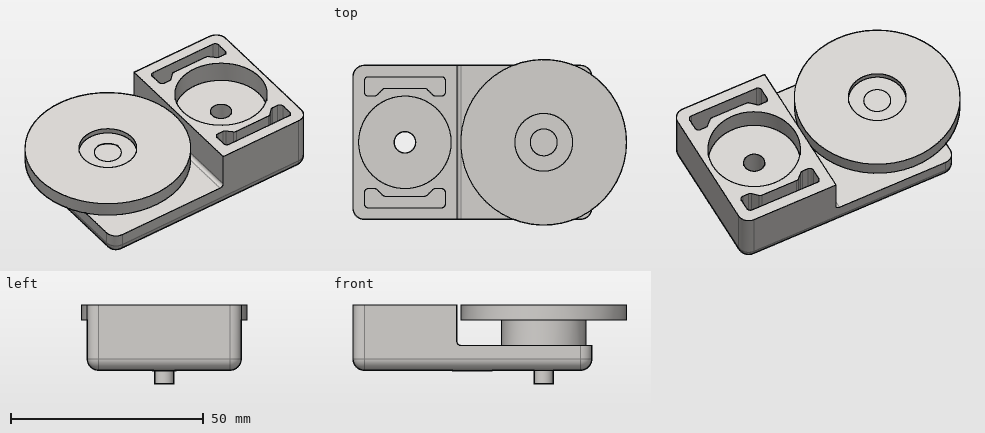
import cadquery as cq

housing_length = 62.0
housing_width = 40.0
housing_height = 17.0
block_length = 27.0
base_thickness = 6.5
corner_radius = 3.0
step_radius = 1.0

recess_diameter = 24.0
recess_depth = 6.0
block_hole_diameter = 5.5

pocket_margin = 3.0
pocket_length = block_length - 2 * pocket_margin
pocket_web_width = 3.0
pocket_leg_width = 5.0
pocket_leg_length = 3.0
pocket_corner_radius = 1.0
pocket_depth = 10.0

pad_length = 10.2
pad_width = 6.0
pad_height = 0.2

disc_x = 49.5
disc_diameter = 43.0
disc_thickness = 4.0
disc_recess_diameter = 15.0
disc_recess_depth = 1.5
disc_hole_top_diameter = 7.0
disc_hole_bottom_diameter = disc_hole_top_diameter + 2 * (disc_thickness - disc_recess_depth)

hub_diameter = 22.0
pin_diameter = 5.0
pin_projection = 3.5

block_center_x = block_length / 2
disc_bottom_z = housing_height - disc_thickness


def cylinder(diameter, x, bottom_z, top_z):
    """Upright cylinder on the housing's centre line."""
    return (
        cq.Workplane("XY", origin=(x, 0, bottom_z))
        .circle(diameter / 2)
        .extrude(top_z - bottom_z)
    )


def make_pocket(side):
    """Cutter for one pocket; side is +1 or -1 along Y, with the legs toward the centre."""
    outer_y = housing_width / 2 - pocket_margin
    web_y = outer_y - pocket_web_width
    leg_y = outer_y - pocket_leg_width
    slope_run = web_y - leg_y
    half_length = pocket_length / 2
    leg_x = half_length - pocket_leg_length
    web_x = leg_x - slope_run
    outline = [
        (-half_length, outer_y),
        (half_length, outer_y),
        (half_length, leg_y),
        (leg_x, leg_y),
        (web_x, web_y),
        (-web_x, web_y),
        (-leg_x, leg_y),
        (-half_length, leg_y),
    ]
    return (
        cq.Workplane("XY", origin=(block_center_x, 0, housing_height - pocket_depth))
        .polyline([(x, side * y) for x, y in outline])
        .close()
        .extrude(pocket_depth)
        .edges("|Z")
        .fillet(pocket_corner_radius)
    )


def make_housing():
    """L-profile housing with rounded corners, pockets, recess, holes and pad."""
    body = (
        cq.Workplane("XY")
        .box(housing_length, housing_width, housing_height, centered=(False, True, False))
        .edges("|Z")
        .fillet(corner_radius)
        .faces("<Z")
        .edges()
        .fillet(corner_radius)
    )
    step_cut = (
        cq.Workplane("XY", origin=(block_length, 0, base_thickness))
        .box(housing_length, housing_width, housing_height, centered=(False, True, False))
        .edges("|Y and <X and <Z")
        .fillet(step_radius)
    )
    body = body.cut(step_cut)

    recess_floor_z = housing_height - recess_depth
    body = body.cut(cylinder(recess_diameter, block_center_x, recess_floor_z, housing_height))
    body = body.cut(cylinder(block_hole_diameter, block_center_x, 0, housing_height))
    for side in (1, -1):
        body = body.cut(make_pocket(side))

    pad = cq.Workplane("XY", origin=(housing_length / 2, 0, -pad_height)).box(
        pad_length, pad_width, 2 * pad_height, centered=(True, True, False)
    )
    body = body.union(pad)
    return body.cut(cylinder(pin_diameter, disc_x, 0, base_thickness))


def make_disc():
    """Flat disc with a round recess on top and a flared centre hole below it."""
    disc = cylinder(disc_diameter, disc_x, disc_bottom_z, housing_height)
    recess_floor_z = housing_height - disc_recess_depth
    recess = cylinder(disc_recess_diameter, disc_x, recess_floor_z, housing_height)
    flared_hole = (
        cq.Workplane("XY", origin=(disc_x, 0, disc_bottom_z))
        .circle(disc_hole_bottom_diameter / 2)
        .workplane(offset=recess_floor_z - disc_bottom_z)
        .circle(disc_hole_top_diameter / 2)
        .loft(ruled=True)
    )
    return disc.cut(recess).cut(flared_hole)


def make_spindle():
    """Hub standing on the base plate under the disc, with the pin below it."""
    hub = cylinder(hub_diameter, disc_x, base_thickness, disc_bottom_z)
    pin = cylinder(pin_diameter, disc_x, -pin_projection, base_thickness)
    return hub.union(pin)


housing = make_housing()
disc = make_disc()
spindle = make_spindle()

result = cq.Compound.makeCompound([housing.val(), disc.val(), spindle.val()])